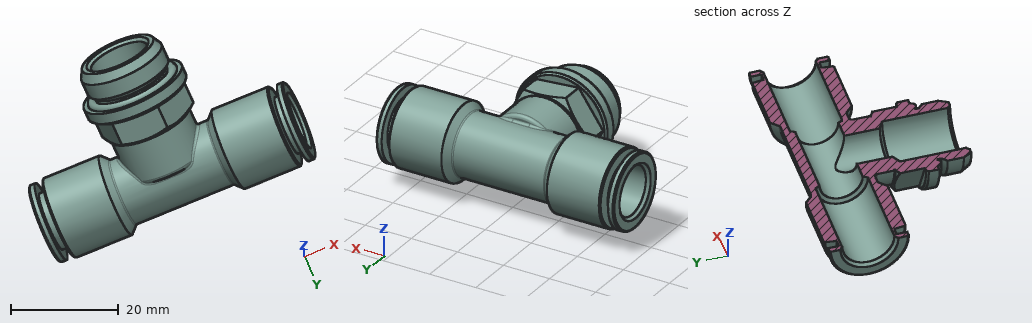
import cadquery as cq
import math


run_length = 51.6
collar_radius = 7.75
collar_thickness = 1.25
collar_chamfer = 0.25
neck_radius = 5.7

socket_radius = 8.0
socket_start = 2.6
socket_face_rise = 0.25
socket_chamfer = 0.25
socket_cone_start = 14.35
tube_radius = 6.5
socket_cone_end = socket_cone_start + (socket_radius - tube_radius)
cone_blend_radius = 0.4

through_radius = 4.2
hose_radius = 5.05
hose_mouth_radius = 5.6
hose_mouth_depth = 0.7
hose_depth = 17.55

branch_radius = 7.9
branch_back = 1.85
branch_back_round = 0.75
branch_end = 10.35
tee_blend_radius = 0.5
relief_radius = 7.7
hex_start = 10.55
hex_flats = 16.1
hex_face_radius = 7.9
hex_turn = 4.7
hex_chamfer_angle = math.radians(30)

flange_start = 15.95
flange_end = 18.45
flange_radius = 10.0
flange_chamfer = 0.4
seal_end = 19.4
seal_radius = 9.05
undercut_end = 19.65
undercut_radius = 7.3
thread_radius = 8.2
thread_start = undercut_end + (thread_radius - undercut_radius)
thread_end = 23.75
branch_tip = 25.5

branch_hole_radius = 3.95
branch_bore_radius = 5.7
branch_bore_mouth_radius = 6.3
branch_bore_mouth_depth = 0.6
branch_bore_depth = 13.4

half_run = run_length / 2
bevel_angle = math.radians(45)
bore_cone_slope = math.radians(30)


def branch_cylinder(radius, start, end):
    """Cylinder on the branch axis between two distances from the run axis."""
    return cq.Workplane("XZ").workplane(offset=start).circle(radius).extrude(end - start)


def lies_on_tube(edge):
    """True when the whole edge runs on the surface of the run tube, off its ends and seam."""
    samples = [edge.positionAt(step / 4) for step in range(5)]
    on_surface = all(abs(math.hypot(p.y, p.z) - tube_radius) < 0.0005 for p in samples)
    near_branch = all(p.y < 0 and abs(p.x) <= branch_radius + 0.0005 for p in samples)
    return on_surface and near_branch


def tee_core():
    """Run tube and round branch body, blended where they meet."""
    tube = cq.Workplane("YZ").circle(tube_radius).extrude(half_run - socket_cone_end, both=True)
    branch = branch_cylinder(branch_radius, branch_back, branch_end)
    branch = branch.faces(">Y").edges().fillet(branch_back_round)
    core = tube.union(branch)
    junction = [edge for edge in core.edges().vals() if lies_on_tube(edge)]
    return core.newObject(junction).fillet(tee_blend_radius)


def socket():
    """Socket body, neck and release collar at the -X end of the run."""
    half_bevel = bevel_angle / 2
    blend_tangent = cone_blend_radius * math.tan(half_bevel)
    blend_start = (
        socket_cone_end - blend_tangent * math.cos(bevel_angle),
        tube_radius + blend_tangent * math.sin(bevel_angle),
    )
    blend_end = (socket_cone_end + blend_tangent, tube_radius)
    blend_middle = (
        blend_end[0] - cone_blend_radius * math.sin(half_bevel),
        tube_radius + cone_blend_radius * (1 - math.cos(half_bevel)),
    )
    face_edge = socket_start + socket_face_rise
    profile = (
        cq.Workplane("XY")
        .moveTo(0, 0)
        .lineTo(0, collar_radius - collar_chamfer)
        .lineTo(collar_chamfer, collar_radius)
        .lineTo(collar_thickness, collar_radius)
        .lineTo(collar_thickness, neck_radius)
        .lineTo(socket_start, neck_radius)
        .lineTo(face_edge, socket_radius - socket_chamfer)
        .lineTo(face_edge + socket_chamfer, socket_radius)
        .lineTo(socket_cone_start, socket_radius)
        .lineTo(*blend_start)
        .threePointArc(blend_middle, blend_end)
        .lineTo(blend_end[0], 0)
        .close()
    )
    return profile.revolve(360, (0, 0, 0), (1, 0, 0)).translate((-half_run, 0, 0))


def hexagon():
    """Hexagon whose back corners are cut by a cone."""
    corner_radius = hex_flats / 2 / math.cos(math.radians(30))
    length = flange_start - hex_start
    blank = (
        cq.Workplane("XZ")
        .workplane(offset=hex_start)
        .polygon(6, 2 * corner_radius)
        .extrude(length)
        .rotate((0, 0, 0), (0, 1, 0), hex_turn)
    )
    cut_rise = (corner_radius - hex_face_radius) * math.tan(hex_chamfer_angle)
    envelope = (
        cq.Workplane("XY")
        .moveTo(0, -hex_start)
        .lineTo(hex_face_radius, -hex_start)
        .lineTo(corner_radius, -hex_start - cut_rise)
        .lineTo(corner_radius, -flange_start)
        .lineTo(0, -flange_start)
        .close()
        .revolve(360, (0, 0, 0), (0, 1, 0))
    )
    return blank.intersect(envelope)


def flange_and_thread():
    """Flange, half-round seal, undercut and plain threaded end, turned about the branch axis."""
    seal_section = seal_end - flange_end
    seal_centre = seal_radius - seal_section
    seal_foot = math.sqrt(seal_section**2 - (seal_centre - undercut_radius) ** 2)
    profile = (
        cq.Workplane("XY")
        .moveTo(0, -flange_start)
        .lineTo(flange_radius - flange_chamfer, -flange_start)
        .lineTo(flange_radius, -flange_start - flange_chamfer)
        .lineTo(flange_radius, -flange_end)
        .lineTo(seal_radius, -flange_end)
        .threePointArc((seal_centre, -seal_end), (undercut_radius, -flange_end - seal_foot))
        .lineTo(undercut_radius, -undercut_end)
        .lineTo(thread_radius, -thread_start)
        .lineTo(thread_radius, -thread_end)
        .lineTo(undercut_radius, -branch_tip)
        .lineTo(0, -branch_tip)
        .close()
    )
    return profile.revolve(360, (0, 0, 0), (0, 1, 0))


def stepped_bore(mouth_radius, mouth_depth, radius, depth, stop_radius):
    """Bore along +X from the YZ plane: conical mouth, straight bore and a cone at the stop."""
    cone_end = depth + (radius - stop_radius) * math.tan(bore_cone_slope)
    profile = (
        cq.Workplane("XY")
        .moveTo(0, 0)
        .lineTo(0, mouth_radius)
        .lineTo(mouth_depth, radius)
        .lineTo(depth, radius)
        .lineTo(cone_end, stop_radius)
        .lineTo(cone_end, 0)
        .close()
    )
    return profile.revolve(360, (0, 0, 0), (1, 0, 0))


def hose_bore():
    """Hose bore at the -X end of the run."""
    bore = stepped_bore(hose_mouth_radius, hose_mouth_depth, hose_radius, hose_depth, through_radius)
    return bore.translate((-half_run, 0, 0))


def branch_bore():
    """Hole from the run into the branch, with a wide bore at the open end."""
    hole = branch_cylinder(branch_hole_radius, 0, branch_tip)
    bore = stepped_bore(
        branch_bore_mouth_radius,
        branch_bore_mouth_depth,
        branch_bore_radius,
        branch_bore_depth,
        branch_hole_radius,
    )
    bore = bore.rotate((0, 0, 0), (0, 0, 1), 90).translate((0, -branch_tip, 0))
    return hole.union(bore)


outside = tee_core().union(socket()).union(socket().mirror("YZ"))
outside = outside.union(branch_cylinder(relief_radius, branch_end, hex_start))
outside = outside.union(hexagon()).union(flange_and_thread())

through_bore = cq.Workplane("YZ").circle(through_radius).extrude(half_run, both=True)
result = outside.cut(through_bore).cut(hose_bore()).cut(hose_bore().mirror("YZ")).cut(branch_bore())